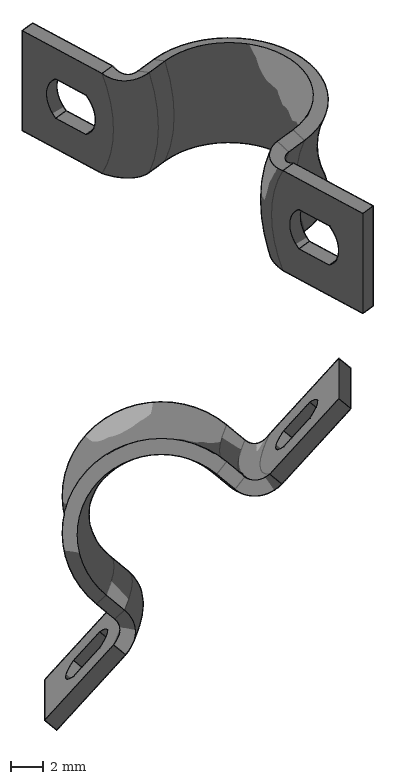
import cadquery as cq
import math

length = 28.0
height = 8.0
thickness = 1.0

arch_center_y = 3.5
waist_radius = 4.5
saddle_radius = 11.0
saddle_outer_radius = saddle_radius - thickness

bend_back_radius = 0.98
bend_front_radius = bend_back_radius + thickness

hole_diameter = 4.0
hole_height = 3.15
hole_x = 10.0

saddle_center_x = waist_radius + saddle_radius
bend_axis_radius = saddle_radius - bend_front_radius
leg_angle = math.asin(height / 2 / saddle_radius)
tab_angle = math.asin(height / 2 / bend_axis_radius)


def saddle_point(radius, angle):
    """Point (X, Z) on the saddle cross-section."""
    return (saddle_center_x - radius * math.cos(angle), radius * math.sin(angle))


def band_section(y):
    """Cross-section of the band: an arched strip with radial ends."""
    section_plane = cq.Plane(origin=(0, y, 0), xDir=(1, 0, 0), normal=(0, -1, 0))
    return (
        cq.Workplane(section_plane)
        .moveTo(*saddle_point(saddle_radius, -leg_angle))
        .threePointArc(saddle_point(saddle_radius, 0), saddle_point(saddle_radius, leg_angle))
        .lineTo(*saddle_point(saddle_outer_radius, leg_angle))
        .threePointArc(
            saddle_point(saddle_outer_radius, 0), saddle_point(saddle_outer_radius, -leg_angle)
        )
        .close()
    )


def make_arch():
    return band_section(arch_center_y).revolve(180, (0, 0, 0), (0, 1, 0))


def make_leg():
    return band_section(arch_center_y).extrude(arch_center_y - bend_front_radius)


def bend_end_cutter():
    """Removes the bend above its end face, which twists from the leg end to the tab edge."""
    overlap = 0.78
    turn_margin = math.radians(15)
    cut_height = 2.25
    samples = 12
    ease_power = 3
    first_turn = -turn_margin
    turn_range = math.pi / 2 + 2 * turn_margin

    def end_curve(bend_radius):
        turns = []
        points = []
        for i in range(samples + 1):
            turn = first_turn + turn_range * i / samples
            turns.append(turn)
            ease = (turn / (math.pi / 2)) ** ease_power
            angle = leg_angle + (tab_angle - leg_angle) * ease
            x, z = saddle_point(bend_axis_radius + bend_radius * math.cos(turn), angle)
            y = bend_front_radius - bend_radius * math.sin(turn)
            points.append(cq.Vector(x, y, z))
        return cq.Edge.makeSpline(points, parameters=turns)

    end_face = cq.Face.makeRuledSurface(
        end_curve(bend_back_radius - overlap), end_curve(bend_front_radius + overlap)
    )
    return cq.Workplane(cq.Solid.extrudeLinear(end_face, cq.Vector(0, 0, cut_height)))


def make_bend():
    """Quarter-ring section swept about the saddle axis, trimmed at both ends."""
    spare_angle = 1.02 * tab_angle
    axis_x = saddle_center_x - bend_axis_radius
    diagonal = math.sqrt(0.5)
    bend = (
        cq.Workplane("XY")
        .moveTo(axis_x - bend_front_radius, bend_front_radius)
        .threePointArc(
            (axis_x - bend_front_radius * diagonal, bend_front_radius * (1 - diagonal)), (axis_x, 0)
        )
        .lineTo(axis_x, thickness)
        .threePointArc(
            (axis_x - bend_back_radius * diagonal, bend_front_radius - bend_back_radius * diagonal),
            (axis_x - bend_back_radius, bend_front_radius),
        )
        .close()
        .revolve(2 * math.degrees(spare_angle), (saddle_center_x, 0), (saddle_center_x, 1))
        .rotate(
            (saddle_center_x, 0, 0), (saddle_center_x, 1, 0), -math.degrees(spare_angle)
        )
    )
    cutter = bend_end_cutter()
    return bend.cut(cutter).cut(cutter.mirror("XY"))


def make_tab():
    """Flat tab with a curved inner edge and a round hole with two flats."""
    blank = cq.Workplane("XY").box(length / 2, thickness, height, centered=(False, False, True))
    front = cq.Workplane("XZ")
    edge_disc = front.center(saddle_center_x, 0).circle(bend_axis_radius).extrude(-thickness)
    hole = front.center(hole_x, 0).circle(hole_diameter / 2).extrude(-thickness)
    flats = front.center(hole_x, 0).rect(hole_diameter, hole_height).extrude(-thickness)
    return blank.intersect(edge_disc).cut(hole.intersect(flats))


side = make_leg().union(make_bend()).union(make_tab())
result = make_arch().union(side).union(side.mirror("YZ"))